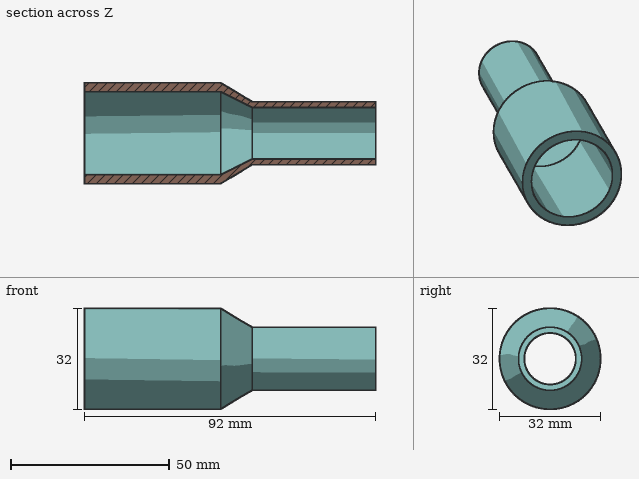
import cadquery as cq

total_length = 92.0
large_length = 43.0
cone_length = 10.0
large_outer_diameter = 32.0
large_bore_diameter = 26.2
small_outer_diameter = 20.0
small_bore_diameter = 16.2

cone_end = large_length + cone_length


def stepped_body(large_diameter, small_diameter):
    """Solid of revolution: large cylinder, cone, then small cylinder."""
    large_radius = large_diameter / 2
    small_radius = small_diameter / 2
    return (
        cq.Workplane("XY")
        .polyline([
            (0, 0),
            (0, large_radius),
            (large_length, large_radius),
            (cone_end, small_radius),
            (total_length, small_radius),
            (total_length, 0),
        ])
        .close()
        .revolve(360, (0, 0, 0), (1, 0, 0))
    )


outer_body = stepped_body(large_outer_diameter, small_outer_diameter)
bore = stepped_body(large_bore_diameter, small_bore_diameter)

result = outer_body.cut(bore)